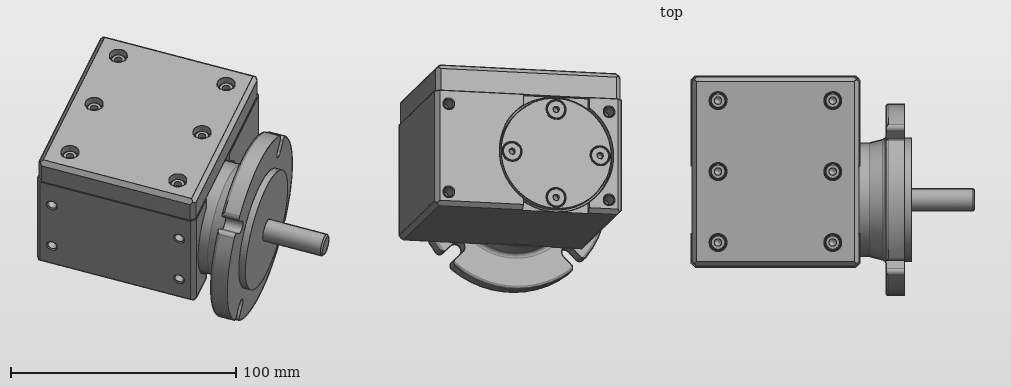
import cadquery as cq
import math


bore_diameter = 52.0
bore_gap_depth = 4.0
cap_diameter = 50.0
cap_inset = 0.5

housing_length = 75.1
housing_width = 85.0
housing_front = -30.0
housing_back = housing_front + housing_width
housing_half_height = 26.1
edge_chamfer = 2.0
recess_width = 30.0
recess_depth = 3.0

cover_inset = 0.5
cover_top = 38.0
cover_screw_spacing_x = 50.9
cover_screw_spacing_y = 31.5
cover_screw_bore = 8.0
cover_screw_bore_depth = 4.8
cover_screw_head = 7.0
cover_screw_head_depth = 2.6
cover_screw_head_chamfer = 0.5
cover_screw_socket = 3.3

cap_screw_circle_radius = 20.0
cap_screw_bore = 9.0
cap_screw_bore_depth = 1.3
cap_screw_head = 8.0
cap_screw_socket = 2.8

socket_depth = 2.5

tapped_diameter = 4.3
tapped_mouth_diameter = 5.3
tapped_depth = 10.1
drill_tip_angle = 118.0
front_hole_spacing_x = 60.0
front_hole_spacing_z = 26.0
side_hole_edge_distance = 6.0
side_hole_spacing_z = 40.1

neck_diameter = 50.5
neck_flare_start = 79.4
neck_flare_diameter = 54.4
flange_start = 86.7
flange_diameter = 85.0
flange_thickness = 8.2
flange_rim_fillet = 1.0
neck_fillet = 2.0
slot_width = 5.7
slot_inner_radius = 32.4
slot_angles = (45, 135, 225, 315)
slot_mouth_fillet = 2.0
pilot_diameter = 55.0
pilot_length = 3.2
shaft_diameter = 10.0
shaft_end = 126.0
shaft_chamfer = 0.8

tolerance = 0.01

housing_center_x = housing_length / 2
housing_center_y = (housing_front + housing_back) / 2
flange_end = flange_start + flange_thickness
pilot_end = flange_end + pilot_length


def disc(diameter, start, end):
    """Cylinder on the X axis between two X positions."""
    return cq.Workplane("YZ", origin=(start, 0, 0)).circle(diameter / 2).extrude(end - start)


def cut_at(body, tool, point, direction):
    """Cut with a tool made along +Z at the origin, moved to a point and turned along a direction."""
    plane = cq.Plane(origin=point, normal=direction)
    return body.cut(cq.Workplane(tool.val().moved(cq.Location(plane))))


def drill(diameter, depth, mouth_diameter=None):
    """Blind drilled hole along +Z with a conical tip and an optional 45 degree mouth chamfer."""
    radius = diameter / 2
    tip = radius / math.tan(math.radians(drill_tip_angle / 2))
    profile = cq.Workplane("XZ").moveTo(0, 0)
    if mouth_diameter:
        mouth_radius = mouth_diameter / 2
        profile = profile.lineTo(mouth_radius, 0).lineTo(radius, mouth_radius - radius)
    else:
        profile = profile.lineTo(radius, 0)
    profile = profile.lineTo(radius, depth).lineTo(0, depth + tip).close()
    return profile.revolve(360, (0, 0, 0), (0, 1, 0))


def screw_recess(bore, bore_depth, head, head_depth, socket, head_chamfer=0):
    """Cutter along +Z that leaves a screw head with a round socket standing in its counterbore."""
    counterbore = cq.Workplane("XY").circle(bore / 2).extrude(bore_depth)
    screw_head = (
        cq.Workplane("XY", origin=(0, 0, head_depth))
        .circle(head / 2)
        .extrude(bore_depth - head_depth)
    )
    if head_chamfer:
        screw_head = screw_head.faces("<Z").chamfer(head_chamfer)
    socket_cut = drill(socket, socket_depth).translate((0, 0, head_depth))
    return counterbore.cut(screw_head).union(socket_cut)


def chamfered_block(size_x, size_y, bottom, top, rim):
    """Block in line with the housing, chamfered on its vertical edges and around one end face."""
    block = cq.Workplane("XY", origin=(housing_center_x, housing_center_y, bottom)).box(
        size_x, size_y, top - bottom, centered=(True, True, False)
    )
    corners_cut = block.edges("|Z").chamfer(edge_chamfer)
    rim_cut = block.faces(rim).edges().chamfer(edge_chamfer)
    return corners_cut.intersect(rim_cut)


def make_housing():
    body = chamfered_block(housing_length, housing_width, -housing_half_height, housing_half_height, "<Z")
    recess = cq.Workplane("XY").box(recess_depth, recess_width, 2 * housing_half_height)
    for recess_center in (recess_depth / 2, housing_length - recess_depth / 2):
        body = body.cut(recess.translate((recess_center, 0, 0)))
    body = body.cut(disc(bore_diameter, 0, bore_gap_depth))
    return body.cut(disc(bore_diameter, housing_length - bore_gap_depth, housing_length))


def make_cover():
    return chamfered_block(
        housing_length - 2 * cover_inset,
        housing_width - 2 * cover_inset,
        housing_half_height,
        cover_top,
        ">Z",
    )


def make_neck():
    """Straight then flaring neck that blends into the flange with a tangent arc."""
    radius = neck_diameter / 2
    slope = math.atan2(neck_flare_diameter / 2 - radius, flange_start - neck_flare_start)
    arc_center_x = flange_start - neck_fillet
    flare_at_center = radius + (arc_center_x - neck_flare_start) * math.tan(slope)
    arc_center_r = flare_at_center + neck_fillet / math.cos(slope)

    def arc_point(angle):
        return (
            arc_center_x + neck_fillet * math.cos(angle),
            arc_center_r + neck_fillet * math.sin(angle),
        )

    flare_angle = slope - math.pi / 2
    return (
        cq.Workplane("XY")
        .moveTo(housing_length - bore_gap_depth, 0)
        .lineTo(housing_length - bore_gap_depth, radius)
        .lineTo(neck_flare_start, radius)
        .lineTo(*arc_point(flare_angle))
        .threePointArc(arc_point(flare_angle / 2), arc_point(0))
        .lineTo(flange_start, 0)
        .close()
        .revolve(360, (0, 0, 0), (1, 0, 0))
    )


def make_flange():
    """Round flange with open slots on its diagonals."""
    plate = disc(flange_diameter, flange_start, flange_end)
    reach = flange_diameter / 2
    slot = (
        cq.Workplane("YZ", origin=(flange_start, 0, 0))
        .center(slot_inner_radius + reach / 2, 0)
        .slot2D(reach, slot_width)
        .extrude(flange_thickness)
    )
    for angle in slot_angles:
        plate = plate.cut(slot.rotate((0, 0, 0), (1, 0, 0), angle))

    def at_slot_mouth(edge):
        center = edge.Center()
        on_rim = math.hypot(center.y, center.z) > flange_diameter / 2 - tolerance
        return on_rim and abs(abs(center.y) - abs(center.z)) < 2 * slot_width

    plate = plate.edges("|X").filter(at_slot_mouth).fillet(slot_mouth_fillet)
    round_rim = disc(flange_diameter, flange_start, flange_end).faces("<X").edges().fillet(flange_rim_fillet)
    return plate.intersect(round_rim)


def make_output_shaft():
    pilot = disc(pilot_diameter, flange_end, pilot_end)
    shaft = disc(shaft_diameter, pilot_end, shaft_end).faces(">X").chamfer(shaft_chamfer)
    return pilot.union(shaft)


def cut_cover_screws(body):
    tool = screw_recess(
        cover_screw_bore,
        cover_screw_bore_depth,
        cover_screw_head,
        cover_screw_head_depth,
        cover_screw_socket,
        cover_screw_head_chamfer,
    )
    for side in (-1, 1):
        for row in (-1, 0, 1):
            point = (
                housing_center_x + side * cover_screw_spacing_x / 2,
                housing_center_y + row * cover_screw_spacing_y,
                cover_top,
            )
            body = cut_at(body, tool, point, (0, 0, -1))
    return body


def cut_cap_screws(body):
    tool = screw_recess(cap_screw_bore, cap_screw_bore_depth, cap_screw_head, 0, cap_screw_socket)
    r = cap_screw_circle_radius
    for y, z in ((r, 0), (-r, 0), (0, r), (0, -r)):
        body = cut_at(body, tool, (cap_inset, y, z), (1, 0, 0))
    return body


def cut_tapped_holes(body):
    tool = drill(tapped_diameter, tapped_depth, tapped_mouth_diameter)
    for side in (-1, 1):
        for row in (-1, 1):
            x = housing_center_x + side * front_hole_spacing_x / 2
            z = row * front_hole_spacing_z / 2
            body = cut_at(body, tool, (x, housing_front, z), (0, 1, 0))
            y = housing_center_y + side * (housing_width / 2 - side_hole_edge_distance)
            z = row * side_hole_spacing_z / 2
            body = cut_at(body, tool, (0, y, z), (1, 0, 0))
    return body


cap = disc(cap_diameter, cap_inset, bore_gap_depth)
result = make_housing()
for component in (make_cover(), cap, make_neck(), make_flange(), make_output_shaft()):
    result = result.union(component)
result = cut_cover_screws(result)
result = cut_cap_screws(result)
result = cut_tapped_holes(result)